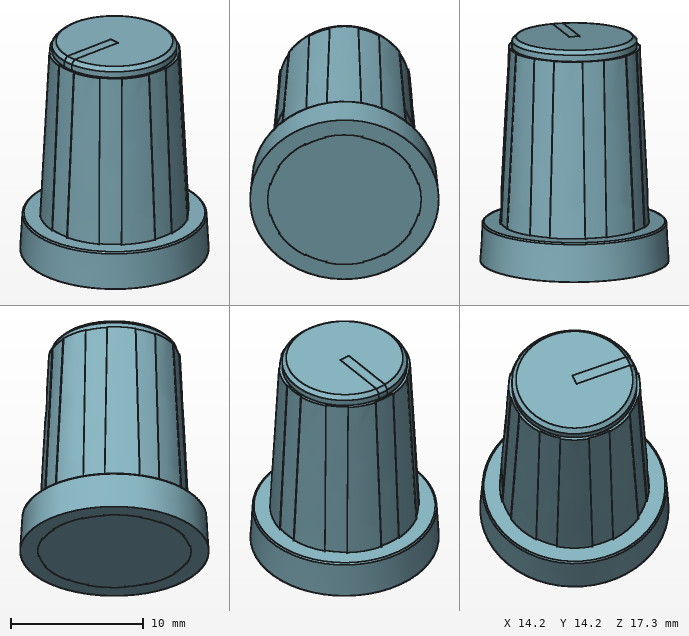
import cadquery as cq

TOTAL_HEIGHT = 17.3

SKIRT_HEIGHT = 3.0
SKIRT_BOTTOM_DIAMETER = 14.2
SKIRT_SHOULDER_RADIUS = 6.94
SKIRT_CHAMFER = 0.12

GRIP_BOTTOM = 0.0
GRIP_TOP = 16.5
GRIP_TOP_RADIUS = 4.95
GRIP_RADIUS_AT_SKIRT = 5.62
FLUTE_COUNT = 8
FLUTE_WIDTH = 1.68
FLUTE_DEPTH = 0.07

CAP_RADIUS = 4.7
CAP_CHAMFER = 0.31

POINTER_WIDTH = 0.81

SKIRT_BOTTOM_RADIUS = SKIRT_BOTTOM_DIAMETER / 2
GRIP_HEIGHT = GRIP_TOP - GRIP_BOTTOM
GRIP_TAPER = (GRIP_RADIUS_AT_SKIRT - GRIP_TOP_RADIUS) / (GRIP_TOP - SKIRT_HEIGHT)
GRIP_BOTTOM_RADIUS = GRIP_TOP_RADIUS + GRIP_TAPER * GRIP_HEIGHT
CAP_HEIGHT = TOTAL_HEIGHT - GRIP_TOP


def grip_cone(inset):
    """Tapered column of the grip, with its radius reduced by inset."""
    bottom_radius = GRIP_BOTTOM_RADIUS - inset
    top_radius = GRIP_TOP_RADIUS - inset
    profile = [(0, GRIP_BOTTOM), (bottom_radius, GRIP_BOTTOM), (top_radius, GRIP_TOP), (0, GRIP_TOP)]
    return cq.Workplane("XZ").polyline(profile).close().revolve(360, (0, 0), (0, 1))


def make_grip():
    """Column with straight-sided flutes whose floors follow a slightly smaller cone."""
    core = grip_cone(FLUTE_DEPTH)
    grip = grip_cone(0)
    for index in range(FLUTE_COUNT // 2):
        bar = (
            cq.Workplane("XY")
            .workplane(offset=GRIP_BOTTOM)
            .rect(SKIRT_BOTTOM_DIAMETER, FLUTE_WIDTH)
            .extrude(GRIP_HEIGHT)
            .rotate((0, 0, 0), (0, 0, 1), index * 360 / FLUTE_COUNT)
        )
        grip = grip.cut(bar.cut(core))
    return grip


def make_skirt(grip):
    """Tapered collar with a chamfered rim and an opening matching the grip."""
    profile = [
        (0, 0),
        (SKIRT_BOTTOM_RADIUS, 0),
        (SKIRT_SHOULDER_RADIUS, SKIRT_HEIGHT - SKIRT_CHAMFER),
        (SKIRT_SHOULDER_RADIUS - SKIRT_CHAMFER, SKIRT_HEIGHT),
        (0, SKIRT_HEIGHT),
    ]
    collar = cq.Workplane("XZ").polyline(profile).close().revolve(360, (0, 0), (0, 1))
    return collar.cut(grip)


def make_disc():
    """Chamfered disc shared by the cap and the pointer."""
    disc = cq.Workplane("XY").workplane(offset=GRIP_TOP).circle(CAP_RADIUS).extrude(CAP_HEIGHT)
    return disc.faces(">Z").edges().chamfer(CAP_CHAMFER)


def make_pointer_bar():
    """Straight bar from the axis to the -Y rim, through the full cap height."""
    return (
        cq.Workplane("XY")
        .workplane(offset=GRIP_TOP)
        .center(0, -CAP_RADIUS / 2)
        .rect(POINTER_WIDTH, CAP_RADIUS)
        .extrude(CAP_HEIGHT)
    )


def make_cap():
    """Disc with a slot for the pointer."""
    return make_disc().cut(make_pointer_bar())


def make_pointer():
    """Bar trimmed to the rim and chamfer of the cap."""
    return make_disc().intersect(make_pointer_bar())


grip = make_grip()
skirt = make_skirt(grip)
cap = make_cap()
pointer = make_pointer()

result = cq.Compound.makeCompound([
    *skirt.solids().vals(),
    *grip.solids().vals(),
    *cap.solids().vals(),
    *pointer.solids().vals(),
])